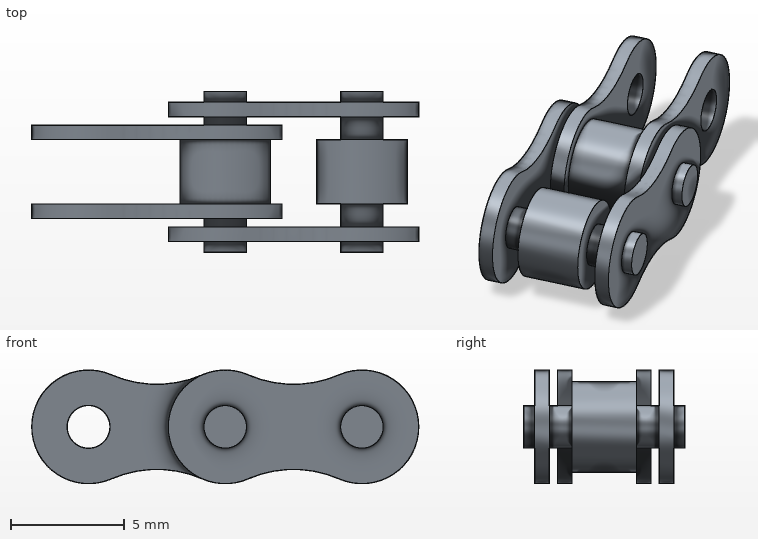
import cadquery as cq
import math

total_length = 17.0
plate_width = 5.0
pin_diameter = 1.87
roller_diameter = 4.0
pin_length = 7.07
plate_thickness = 0.65
inner_gap = 2.82
outer_gap = 4.83

end_radius = plate_width / 2
neck_radius = plate_width
pitch = (total_length - plate_width) / 2
pin_positions = (0.0, pitch)

center_distance = end_radius + neck_radius
neck_center_z = math.sqrt(center_distance**2 - (pitch / 2) ** 2)
waist_z = neck_center_z - neck_radius
tangent_x = pitch / 2 * end_radius / center_distance
tangent_z = neck_center_z * end_radius / center_distance


def cylinder(x, diameter, length):
    """Cylinder along Y, centred on the XZ plane."""
    return cq.Workplane("XZ", origin=(x, length / 2, 0)).circle(diameter / 2).extrude(length)


def waisted_block(start_x, width):
    """Link outline from start_x to one pitch further, centred across Y."""
    end_x = start_x + pitch
    middle_x = start_x + pitch / 2
    return (
        cq.Workplane("XZ", origin=(0, width / 2, 0))
        .moveTo(start_x + tangent_x, tangent_z)
        .threePointArc((middle_x, waist_z), (end_x - tangent_x, tangent_z))
        .threePointArc((end_x + end_radius, 0), (end_x - tangent_x, -tangent_z))
        .threePointArc((middle_x, -waist_z), (start_x + tangent_x, -tangent_z))
        .threePointArc((start_x - end_radius, 0), (start_x + tangent_x, tangent_z))
        .close()
        .extrude(width)
    )


def plate_pair(start_x, gap):
    """Two parallel link plates separated by the gap."""
    return waisted_block(start_x, gap + 2 * plate_thickness).cut(waisted_block(start_x, gap))


inner_plates = plate_pair(-pitch, inner_gap).cut(cylinder(-pitch, pin_diameter, pin_length))

result = inner_plates.union(plate_pair(0.0, outer_gap))

for pin_x in pin_positions:
    result = result.union(cylinder(pin_x, pin_diameter, pin_length))
    result = result.union(cylinder(pin_x, roller_diameter, inner_gap))